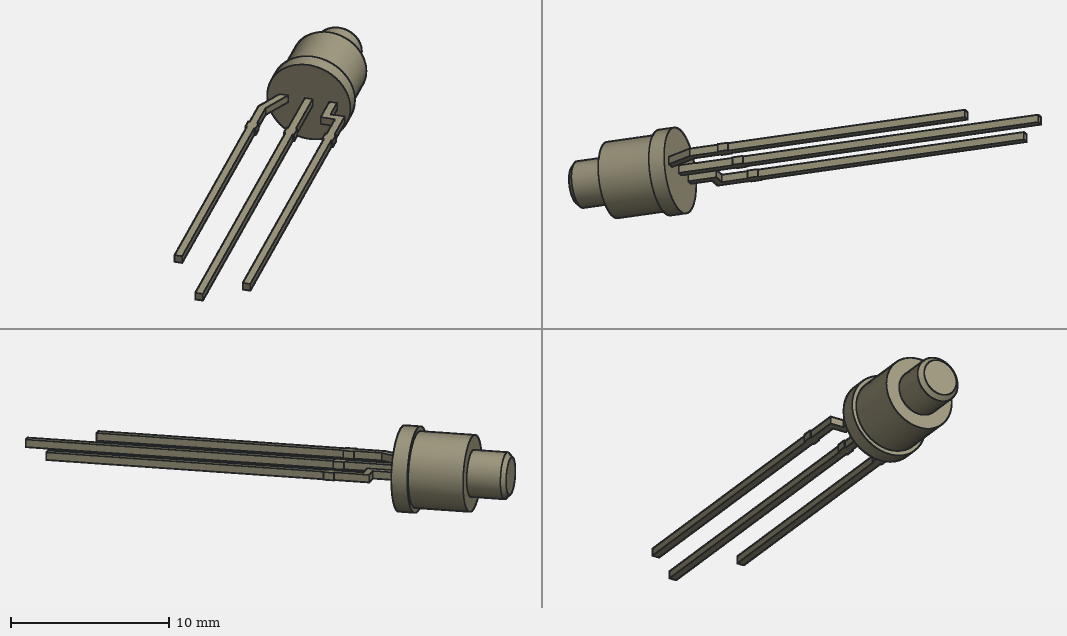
import cadquery as cq
import math


overall_length = 31.6
body_length = 7.1
flange_diameter = 5.5
flange_thickness = 1.05
barrel_diameter = 4.9
tip_diameter = 3.0
tip_length = 2.5
tip_chamfer = 0.3

lead_width = 0.5
half_lead = lead_width / 2
middle_lead_length = overall_length - body_length
left_lead_length = 20.5
right_lead_length = 22.5
collar_width = 0.7
collar_length = 0.7
collar_depth = 3.7
overall_width = 5.78
lead_pitch = (overall_width - collar_width) / 2

left_root_offset = 1.65
left_bend_depth = 1.83
right_root_offset = 1.6
right_jog_depth = 1.42


def make_lens_body():
    """Flange, barrel and chamfered tip on one axis."""
    barrel_length = body_length - tip_length
    flange = cq.Workplane("XZ").circle(flange_diameter / 2).extrude(-flange_thickness)
    barrel = cq.Workplane("XZ").circle(barrel_diameter / 2).extrude(-barrel_length)
    tip = cq.Workplane("XZ").circle(tip_diameter / 2).extrude(-body_length)
    tip = tip.faces(">Y").chamfer(tip_chamfer)
    return flange.union(barrel).union(tip)


def straight_neck(x):
    """Outline of a neck that runs straight to the collar."""
    return [
        (x - half_lead, 0),
        (x + half_lead, 0),
        (x + half_lead, -collar_depth),
        (x - half_lead, -collar_depth),
    ]


def slanted_neck(x):
    """Outline of a neck that slants outwards to x, then runs straight."""
    root_x = -left_root_offset
    slant = math.atan2(root_x - x, left_bend_depth)
    half_root = half_lead / math.cos(slant)
    mitre = half_lead * math.tan(slant / 2)
    return [
        (root_x - half_root, 0),
        (root_x + half_root, 0),
        (x + half_lead, -left_bend_depth - mitre),
        (x + half_lead, -collar_depth),
        (x - half_lead, -collar_depth),
        (x - half_lead, -left_bend_depth + mitre),
    ]


def jogged_neck(x):
    """Outline of a neck with two square bends, stepping outwards to x."""
    root_x = right_root_offset
    jog_end = right_jog_depth + lead_width
    return [
        (root_x - half_lead, 0),
        (root_x + half_lead, 0),
        (root_x + half_lead, -right_jog_depth),
        (x + half_lead, -right_jog_depth),
        (x + half_lead, -collar_depth),
        (x - half_lead, -collar_depth),
        (x - half_lead, -jog_end),
        (root_x - half_lead, -jog_end),
    ]


def make_strip(x, width, start_depth, length):
    """Straight length of lead centred on x."""
    return (
        cq.Workplane("XY")
        .center(x, -start_depth - length / 2)
        .rect(width, length)
        .extrude(half_lead, both=True)
    )


def make_lead(x, neck_outline, length):
    """Neck, wider collar and straight shank as one flat lead."""
    neck = cq.Workplane("XY").polyline(neck_outline).close().extrude(half_lead, both=True)
    collar = make_strip(x, collar_width, collar_depth, collar_length)
    shank = make_strip(x, lead_width, collar_depth, length - collar_depth)
    return neck.union(collar).union(shank)


lens_body = make_lens_body()

lead_layout = [
    (-lead_pitch, slanted_neck, left_lead_length),
    (0, straight_neck, middle_lead_length),
    (lead_pitch, jogged_neck, right_lead_length),
]
leads = [make_lead(x, neck(x), length) for x, neck, length in lead_layout]

result = cq.Compound.makeCompound([lens_body.val(), *[lead.val() for lead in leads]])